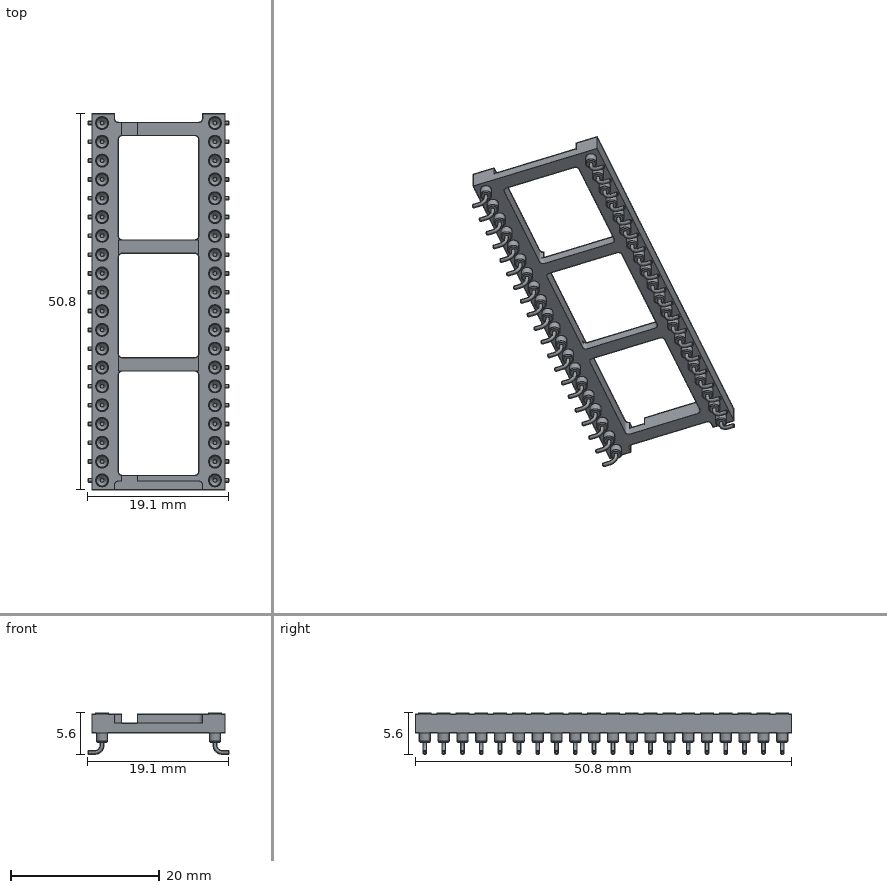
import cadquery as cq
import math

body_length = 50.8
body_width = 18.0
body_height = 2.55
overall_height = 5.6
overall_width = 19.05

pins_per_row = 20
pin_pitch = 2.55
row_spacing = 15.25

collar_diameter = 1.75
collar_height = 0.15
sleeve_diameter = 1.5
sleeve_drop = 1.25
sleeve_chamfer = 0.15
socket_mouth_diameter = 1.5
socket_bottom_diameter = 0.5
socket_depth = 0.75
lead_diameter = 0.5
lead_bend_radius = 1.0
lead_tip_chamfer = 0.1

window_width = 10.8
window_length = 14.05
window_count = 3
bar_width = 1.85
window_shift = -0.5
window_corner_radius = 0.5

recess_width = 11.9
recess_depth = 1.15
recess_corner_radius = 0.5
floor_drop = 1.2
key_slot_width = 2.15
key_slot_center_x = -3.9

body_top = overall_height - collar_height
body_bottom = body_top - body_height
floor_level = body_top - floor_drop
sleeve_bottom = body_bottom - sleeve_drop
foot_level = lead_diameter / 2


def rounded_cutter(width, length, radius, center_y, bottom, top):
    """Upright block with rounded vertical edges, centered on X = 0."""
    block = cq.Workplane("XY").box(width, length, top - bottom, centered=(True, True, False))
    return block.edges("|Z").fillet(radius).translate((0, center_y, bottom))


def end_recess(side, bottom):
    """Cutter for the recess in one end face; its outer half lies beyond the body."""
    return rounded_cutter(
        recess_width, 2 * recess_depth, recess_corner_radius, side * body_length / 2, bottom, body_top
    )


def make_body():
    body = cq.Workplane("XY").box(body_width, body_length, body_height, centered=(True, True, False))
    body = body.translate((0, 0, body_bottom))

    window_pitch = window_length + bar_width
    for index in range(window_count):
        center_y = window_shift + (index - (window_count - 1) / 2) * window_pitch
        body = body.cut(
            rounded_cutter(
                window_width, window_length, window_corner_radius, center_y, body_bottom, body_top
            )
        )

    bars_length = window_length + 2 * bar_width
    bars_relief = cq.Workplane("XY").box(
        window_width, bars_length, floor_drop, centered=(True, True, False)
    )
    body = body.cut(bars_relief.translate((0, window_shift, floor_level)))

    body = body.cut(end_recess(1, body_bottom))
    body = body.cut(end_recess(-1, floor_level))

    key_slot = cq.Workplane("XY").box(
        key_slot_width, body_length, floor_drop, centered=(True, True, False)
    )
    return body.cut(key_slot.translate((key_slot_center_x, 0, floor_level)))


def make_sleeve():
    """Turned sleeve with a collar on top and a conical socket, on the Z axis."""
    collar_radius = collar_diameter / 2
    sleeve_radius = sleeve_diameter / 2
    profile = [
        (0, sleeve_bottom),
        (sleeve_radius - sleeve_chamfer, sleeve_bottom),
        (sleeve_radius, sleeve_bottom + sleeve_chamfer),
        (sleeve_radius, body_top),
        (collar_radius, body_top),
        (collar_radius, overall_height),
        (socket_mouth_diameter / 2, overall_height),
        (socket_bottom_diameter / 2, overall_height - socket_depth),
        (0, overall_height - socket_depth),
    ]
    return cq.Workplane("XZ").polyline(profile).close().revolve(360, (0, 0, 0), (0, 1, 0))


def make_lead():
    """Wire lead that drops from the sleeve and bends outward along +X."""
    foot_end = (overall_width - row_spacing) / 2
    bend_top = foot_level + lead_bend_radius
    bend_middle_offset = lead_bend_radius * (1 - math.sqrt(0.5))
    path = (
        cq.Workplane("XZ")
        .moveTo(0, sleeve_bottom)
        .lineTo(0, bend_top)
        .threePointArc(
            (bend_middle_offset, foot_level + bend_middle_offset), (lead_bend_radius, foot_level)
        )
        .lineTo(foot_end, foot_level)
    )
    lead = cq.Workplane("XY", origin=(0, 0, sleeve_bottom)).circle(lead_diameter / 2).sweep(path)
    return lead.faces(">X").edges().chamfer(lead_tip_chamfer)


def make_contact_bore():
    """Hole through the body that the sleeve fills, so that its socket stays open."""
    bore = cq.Workplane("XY").circle(sleeve_diameter / 2).extrude(body_height)
    return bore.translate((0, 0, body_bottom))


right_contact = make_sleeve().union(make_lead()).translate((row_spacing / 2, 0, 0))
left_contact = right_contact.mirror("YZ")
bore = make_contact_bore()

contacts = []
bores = []
for index in range(pins_per_row):
    pin_y = (index - (pins_per_row - 1) / 2) * pin_pitch
    for contact, row_x in ((right_contact, row_spacing / 2), (left_contact, -row_spacing / 2)):
        contacts.append(contact.translate((0, pin_y, 0)).val())
        bores.append(bore.translate((row_x, pin_y, 0)).val())

body_shape = make_body().val().cut(*bores)
result = cq.Workplane("XY").newObject([body_shape.fuse(*contacts)])